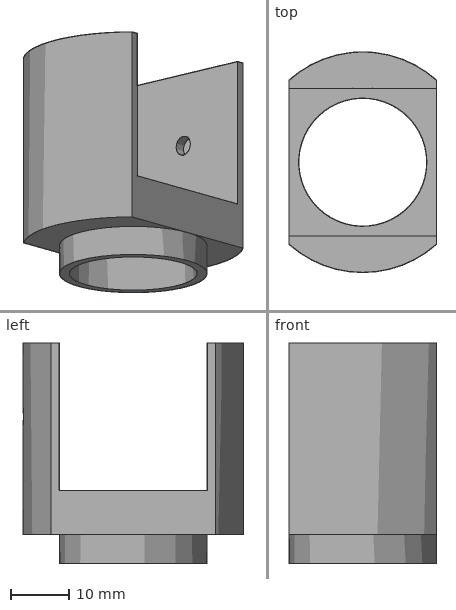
import cadquery as cq

body_diameter = 38.0
width = 25.4
height = 38.0
slot_width = width
slot_depth = width
slot_floor_z = height - slot_depth

collar_diameter = width
collar_height = 5.0
bore_diameter = 22.0

pin_diameter = 3.3
pin_z = height - slot_depth / 2
pin_recess = 1.85
arm_inner_y = slot_width / 2


def round_body():
    """The full-height cylinder that the arms' outer faces follow."""
    return cq.Workplane("XY").circle(body_diameter / 2).extrude(height)


def pin_rod(start_y):
    """A rod along Y at the pin's height, from start_y out to the round outer face."""
    rod_length = body_diameter / 2 - start_y
    rod = (
        cq.Workplane("XZ", origin=(0, start_y, pin_z))
        .circle(pin_diameter / 2)
        .extrude(-rod_length)
    )
    return rod.intersect(round_body())


def make_fork():
    """Two-armed fork with its collar, bore and pin hole."""
    flats = (
        cq.Workplane("XY", origin=(0, 0, collar_height))
        .rect(width, body_diameter)
        .extrude(height - collar_height)
    )
    slot = (
        cq.Workplane("XY", origin=(0, 0, slot_floor_z))
        .rect(width, slot_width)
        .extrude(slot_depth)
    )
    collar = cq.Workplane("XY").circle(collar_diameter / 2).extrude(collar_height)
    bore = cq.Workplane("XY").circle(bore_diameter / 2).extrude(slot_floor_z)

    fork = round_body().intersect(flats).cut(slot)
    fork = fork.union(collar).cut(bore)
    return fork.cut(pin_rod(arm_inner_y))


def make_pin():
    """Pin that fills the outer part of the hole, flush with the arm's outer face."""
    return pin_rod(arm_inner_y + pin_recess)


fork = make_fork()
pin = make_pin()
result = cq.Compound.makeCompound([fork.solids().val(), pin.solids().val()])